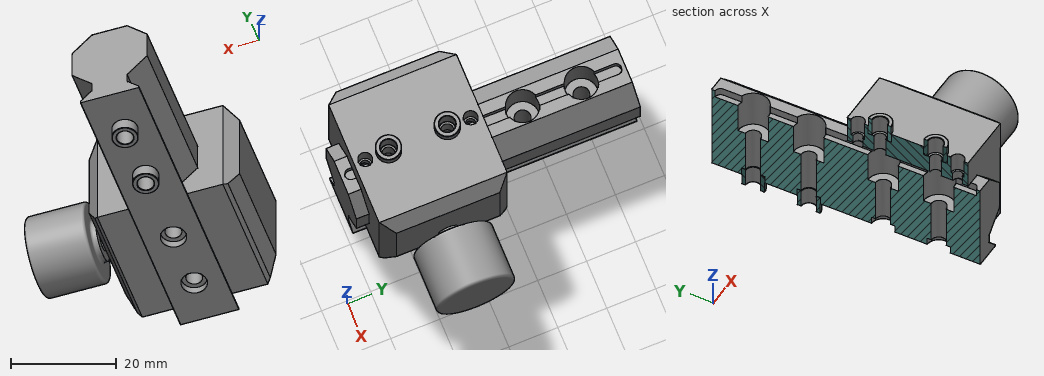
import cadquery as cq


RAIL_LENGTH = 58.0
RAIL_WIDTH = 15.0
RAIL_HEIGHT = 19.0
RAIL_BEVEL = 4.0
RAIL_SIDE_BOTTOM = 8.7
NECK_WIDTH = RAIL_WIDTH - 2 * RAIL_BEVEL
NECK_TOP = RAIL_SIDE_BOTTOM - RAIL_BEVEL
FOOT_LIP = 0.4
FOOT_SPREAD = 2.3
FOOT_TOP = FOOT_LIP + FOOT_SPREAD

SLOT_LENGTH = 56.4
SLOT_WIDTH = 2.2
SLOT_DEPTH = 1.55

HOLE_PITCH = 12.0
RAIL_PAIR_OFFSET = 14.05
RAIL_BORE_DIAMETER = 3.2
RAIL_COUNTERBORE_DIAMETER = 6.5
RAIL_COUNTERBORE_DEPTH = 8.0

SLEEVE_DIAMETER = 5.0
SLEEVE_BORE = RAIL_BORE_DIAMETER
SLEEVE_LENGTH = 4.0
SLEEVE_CHAMFER = 0.1
UPPER_PROTRUSION = 2.0
LOWER_PROTRUSION = 2.45

CARRIAGE_WIDTH = 30.05
CARRIAGE_LENGTH = 26.1
CARRIAGE_BOTTOM = 1.9
CARRIAGE_TOP = 25.0
CARRIAGE_Y = -13.35
CARRIAGE_CHAMFER = 2.5
SKIRT_INSET = 1.75
SKIRT_HEIGHT = 4.2
MOUTH_CHAMFER = 1.4
TAPPED_DIAMETER = 2.45
STEP_HOLE_SPACING = 21.5
STEP_HOLE_DIAMETER = 2.05
STEP_COUNTERBORE_DIAMETER = 2.8
STEP_COUNTERBORE_DEPTH = 4.0

KNOB_Z = 10.95
STEM_DIAMETER = 4.0
STEM_LENGTH = 0.9
COLLAR_DIAMETER = 8.0
COLLAR_LENGTH = 1.05
COLLAR_FILLET = 0.5
KNOB_DIAMETER = 16.0
KNOB_LENGTH = 12.0
KNOB_FILLET = 0.6

RAIL_HOLES = [
    (0, side * RAIL_PAIR_OFFSET + end * HOLE_PITCH / 2) for side in (-1, 1) for end in (-1, 1)
]
LOWER_SLEEVE_HOLES = [point for point in RAIL_HOLES if point[1] > 0]
UPPER_SLEEVE_HOLES = [(0, CARRIAGE_Y + end * HOLE_PITCH / 2) for end in (-1, 1)]
STEP_HOLES = [(0, CARRIAGE_Y + end * STEP_HOLE_SPACING / 2) for end in (-1, 1)]


def cylinders(points, diameter, bottom, top):
    """Vertical cylinders at the given XY points, between two heights."""
    base = cq.Workplane("XY", origin=(0, 0, bottom))
    return base.pushPoints(points).circle(diameter / 2).extrude(top - bottom)


def symmetric_prism(right_half, length, center_y):
    """Extrude a profile along Y; it is given by its +X half, listed from bottom to top."""
    left_half = [(-x, z) for x, z in reversed(right_half)]
    prism = cq.Workplane("XZ").polyline(right_half + left_half).close().extrude(length / 2, both=True)
    return prism.translate((0, center_y, 0))


def rail_section():
    """+X half of the rail profile: dovetail foot, neck and octagonal body."""
    half_neck = NECK_WIDTH / 2
    half_foot = half_neck + FOOT_SPREAD
    half_width = RAIL_WIDTH / 2
    return [
        (half_foot, 0),
        (half_foot, FOOT_LIP),
        (half_neck, FOOT_TOP),
        (half_neck, NECK_TOP),
        (half_width, RAIL_SIDE_BOTTOM),
        (half_width, RAIL_HEIGHT - RAIL_BEVEL),
        (half_neck, RAIL_HEIGHT),
    ]


def make_rail():
    rail = symmetric_prism(rail_section(), RAIL_LENGTH, 0)
    slot = (
        cq.Workplane()
        .workplane(offset=RAIL_HEIGHT - SLOT_DEPTH)
        .slot2D(SLOT_LENGTH, SLOT_WIDTH, 90)
        .extrude(SLOT_DEPTH)
    )
    counterbore_floor = RAIL_HEIGHT - RAIL_COUNTERBORE_DEPTH
    sleeve_pocket_depth = SLEEVE_LENGTH - LOWER_PROTRUSION
    return (
        rail.cut(slot)
        .cut(cylinders(RAIL_HOLES, RAIL_BORE_DIAMETER, 0, RAIL_HEIGHT))
        .cut(cylinders(RAIL_HOLES, RAIL_COUNTERBORE_DIAMETER, counterbore_floor, RAIL_HEIGHT))
        .cut(cylinders(RAIL_HOLES, SLEEVE_DIAMETER, 0, sleeve_pocket_depth))
    )


def carriage_block():
    """Block with bevelled upper edges, two-stage lower flanks and chamfered vertical edges."""
    half_width = CARRIAGE_WIDTH / 2
    half_top = half_width - CARRIAGE_CHAMFER
    skirt_bottom = CARRIAGE_BOTTOM + CARRIAGE_CHAMFER - SKIRT_INSET
    block = symmetric_prism(
        [
            (half_top, CARRIAGE_BOTTOM),
            (half_width - SKIRT_INSET, skirt_bottom),
            (half_width, skirt_bottom + SKIRT_HEIGHT),
            (half_width, CARRIAGE_TOP - CARRIAGE_CHAMFER),
            (half_top, CARRIAGE_TOP),
        ],
        CARRIAGE_LENGTH,
        CARRIAGE_Y,
    )
    chamfered_plan = (
        cq.Workplane()
        .box(CARRIAGE_WIDTH, CARRIAGE_LENGTH, CARRIAGE_TOP, centered=(True, True, False))
        .edges("|Z")
        .chamfer(CARRIAGE_CHAMFER)
        .translate((0, CARRIAGE_Y, 0))
    )
    return block.intersect(chamfered_plan)


def rail_passage():
    """Space the rail slides in: the rail section above the foot, with a flared mouth."""
    half_neck = NECK_WIDTH / 2
    body_section = [point for point in rail_section() if point[1] >= NECK_TOP]
    mouth = [
        (half_neck + MOUTH_CHAMFER, CARRIAGE_BOTTOM),
        (half_neck, CARRIAGE_BOTTOM + MOUTH_CHAMFER),
    ]
    return symmetric_prism(mouth + body_section, CARRIAGE_LENGTH, CARRIAGE_Y)


def make_knob():
    """Stem, filleted collar and round grip along +X, starting at the carriage side."""
    stem_start = CARRIAGE_WIDTH / 2
    collar_start = stem_start + STEM_LENGTH
    grip_start = collar_start + COLLAR_LENGTH
    grip_end = grip_start + KNOB_LENGTH
    collar_radius = COLLAR_DIAMETER / 2
    grip = (
        cq.Workplane("YZ", origin=(grip_start, 0, 0))
        .circle(KNOB_DIAMETER / 2)
        .extrude(KNOB_LENGTH)
        .edges()
        .fillet(KNOB_FILLET)
    )
    stem_and_collar = (
        cq.Workplane()
        .moveTo(stem_start, 0)
        .lineTo(stem_start, STEM_DIAMETER / 2)
        .lineTo(collar_start, STEM_DIAMETER / 2)
        .lineTo(collar_start, collar_radius)
        .lineTo(grip_start - COLLAR_FILLET, collar_radius)
        .radiusArc((grip_start, collar_radius + COLLAR_FILLET), -COLLAR_FILLET)
        .lineTo(grip_end - KNOB_FILLET, collar_radius + COLLAR_FILLET)
        .lineTo(grip_end - KNOB_FILLET, 0)
        .close()
        .revolve(360, (0, 0, 0), (1, 0, 0))
    )
    return grip.union(stem_and_collar).translate((0, CARRIAGE_Y, KNOB_Z))


def make_carriage():
    """Carriage with its clamping knob: one solid, joined where the stem meets the +X side."""
    pocket_floor = CARRIAGE_TOP - (SLEEVE_LENGTH - UPPER_PROTRUSION)
    counterbore_floor = CARRIAGE_TOP - STEP_COUNTERBORE_DEPTH
    return (
        carriage_block()
        .cut(rail_passage())
        .cut(cylinders(UPPER_SLEEVE_HOLES, TAPPED_DIAMETER, RAIL_HEIGHT, CARRIAGE_TOP))
        .cut(cylinders(UPPER_SLEEVE_HOLES, SLEEVE_DIAMETER, pocket_floor, CARRIAGE_TOP))
        .cut(cylinders(STEP_HOLES, STEP_HOLE_DIAMETER, RAIL_HEIGHT, CARRIAGE_TOP))
        .cut(cylinders(STEP_HOLES, STEP_COUNTERBORE_DIAMETER, counterbore_floor, CARRIAGE_TOP))
        .union(make_knob())
    )


def make_sleeve(point, bottom):
    """Locating sleeve with chamfered rims, standing on the given XY point and height."""
    sleeve = (
        cq.Workplane()
        .circle(SLEEVE_DIAMETER / 2)
        .circle(SLEEVE_BORE / 2)
        .extrude(SLEEVE_LENGTH)
        .faces("<Z or >Z")
        .edges()
        .chamfer(SLEEVE_CHAMFER)
    )
    return sleeve.translate((*point, bottom))


rail = make_rail()
carriage = make_carriage()

upper_sleeve_bottom = CARRIAGE_TOP + UPPER_PROTRUSION - SLEEVE_LENGTH
upper_sleeves = [make_sleeve(point, upper_sleeve_bottom) for point in UPPER_SLEEVE_HOLES]
lower_sleeves = [make_sleeve(point, -LOWER_PROTRUSION) for point in LOWER_SLEEVE_HOLES]

result = cq.Compound.makeCompound(
    [rail.val(), carriage.val()] + [sleeve.val() for sleeve in upper_sleeves + lower_sleeves]
)